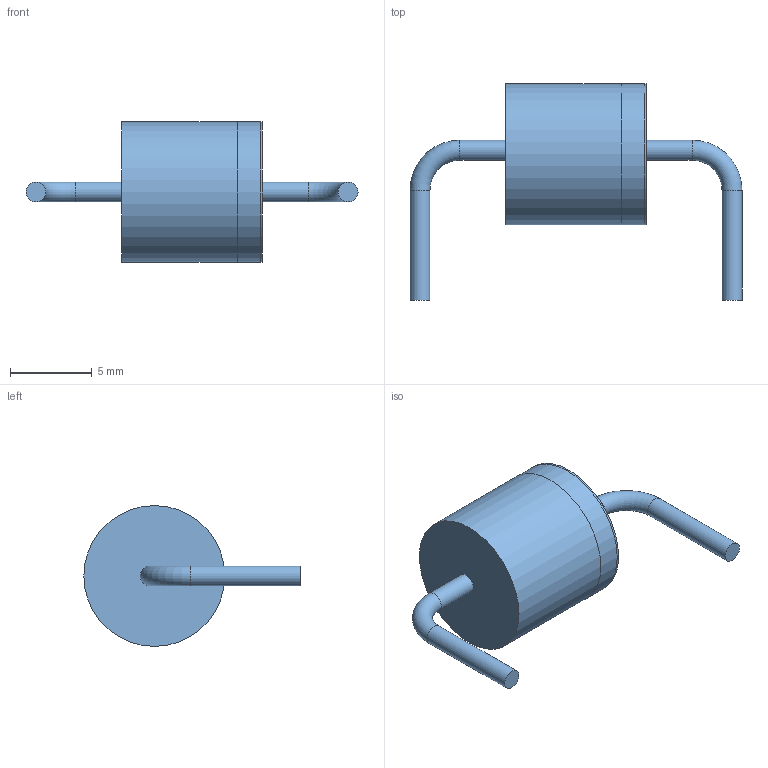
import cadquery as cq

body_diameter = 8.6
body_length = 8.6
band_width = 1.42
end_rim_width = 0.12

lead_diameter = 1.22
lead_pitch = 19.05
lead_offset = 0.25
bend_radius = 2 * lead_diameter
overall_depth = 13.2

body_end = body_length / 2
band_end = body_end - end_rim_width
band_start = band_end - band_width
lead_tip_y = body_diameter / 2 - overall_depth


def body_section(start_x, end_x):
    """Slice of the body cylinder between two X positions."""
    return (
        cq.Workplane("YZ", origin=(start_x, 0, 0))
        .circle(body_diameter / 2)
        .extrude(end_x - start_x)
    )


def make_body():
    """Flush body sections, left unmerged so the band keeps its edge lines."""
    main = body_section(-body_end, band_start)
    band = body_section(band_start, band_end)
    rim = body_section(band_end, body_end)
    return main.union(band, clean=False).union(rim, clean=False)


def make_lead(side):
    """Bent lead at the +X end (side = 1) or the -X end (side = -1)."""
    leg_x = lead_pitch / 2
    bend_start_x = leg_x - bend_radius
    bend_end_y = lead_offset - bend_radius
    path = (
        cq.Workplane("XY")
        .moveTo(side * body_end, lead_offset)
        .lineTo(side * bend_start_x, lead_offset)
        .tangentArcPoint((side * leg_x, bend_end_y), relative=False)
        .lineTo(side * leg_x, lead_tip_y)
    )
    return (
        cq.Workplane("YZ", origin=(side * body_end, lead_offset, 0))
        .circle(lead_diameter / 2)
        .sweep(path)
    )


result = make_body()
for side in (-1, 1):
    result = result.union(make_lead(side), clean=False)